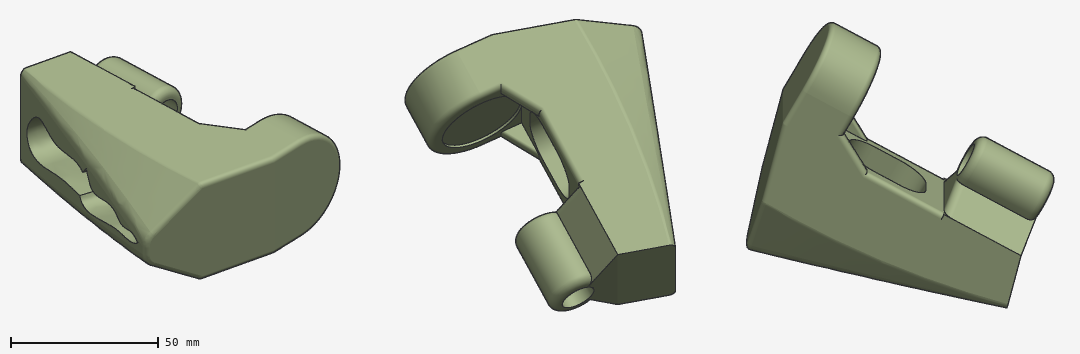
import cadquery as cq
import math

WIDTH = 40.0
HALF = WIDTH / 2
LENGTH = 89.98
LEFT_HEIGHT = 20.05
FRONT_DROP = 6.25

TILT = math.radians(15)
AXIS_V = 15.0

BARREL_LENGTH = 30.0
BARREL_RADIUS = 10.0
BARREL_ROUND = 3.0
BORE_DIAMETER = 12.0

PLATE_START = 73.5
PLATE_THICKNESS = 20.0
PLATE_END = PLATE_START + PLATE_THICKNESS
LEFT_RIM_ROUND = 2.0
RIGHT_END_ROUND = 1.8
SEAT_DIAMETER = 30.0
SEAT_DEPTH = 1.0

GUSSET_START = 60.0
GUSSET_ANGLE = math.radians(30)
GUSSET_HEIGHT = (PLATE_START - GUSSET_START) * math.tan(GUSSET_ANGLE)
GUSSET_INNER_ROUND = 1.0
REAR_ROUND = 1.9

CAVITY_CENTER_U = 52.1
CAVITY_LENGTH = 30.0
CAVITY_WIDTH = 27.2
CAVITY_CORNER = 10.0
CAVITY_FRONT_WALL = 9.0
CAVITY_REACH = LEFT_HEIGHT + PLATE_START

SLOT_DEPTH = 27.0

BEVEL_SECTIONS = (
    (0.0, 1.4, 18.2, 1.5, 3.0),
    (LENGTH / 2, 5.9, 13.1, 2.0, 5.5),
    (LENGTH, 16.7, 4.7, 2.0, 6.5),
)
OVERSHOOT = 5.0


def to_world(u, v):
    """World (X, Y) of a point given in the tilted frame."""
    x = u * math.cos(TILT) - v * math.sin(TILT)
    y = LEFT_HEIGHT + u * math.sin(TILT) + v * math.cos(TILT)
    return (x, y)


def place(shape):
    """Move a shape modelled in the tilted frame to the world frame."""
    return shape.rotate((0, 0, 0), (0, 0, 1), math.degrees(TILT)).translate((0, LEFT_HEIGHT, 0))


def section_plane(position):
    """Plane across the first axis: local x is Y (or v), local y is Z."""
    return cq.Plane(origin=(position, 0, 0), xDir=(0, 1, 0), normal=(1, 0, 0))


def cylinder_along_u(start, end, radius):
    return cq.Workplane(section_plane(start)).center(AXIS_V, 0).circle(radius).extrude(end - start)


def front_y(x):
    return -FRONT_DROP * x / LENGTH


def midpoint(start, end):
    return ((start[0] + end[0]) / 2, (start[1] + end[1]) / 2)


def on_both_sides(point, z):
    """The same outline point at +Z and at -Z."""
    return [(*point, z), (*point, -z)]


def nearest_edges(shape, points):
    """For each point, the edge whose midpoint lies nearest to it."""
    edges = shape.edges().vals()
    chosen = []
    for point in points:
        target = cq.Vector(*point)
        chosen.append(min(edges, key=lambda edge: (edge.positionAt(0.5) - target).Length))
    return chosen


def plate_back_foot():
    """V where the back of the plate meets the right end face."""
    return (PLATE_END * math.cos(TILT) - LENGTH) / math.sin(TILT)


def make_body():
    """Body, gussets and end plate as one full-width block with a half-round plate end."""
    outline = [
        (0, 0),
        (LENGTH, front_y(LENGTH)),
        to_world(PLATE_END, plate_back_foot()),
        to_world(PLATE_END, AXIS_V),
        to_world(PLATE_START, AXIS_V),
        to_world(PLATE_START, GUSSET_HEIGHT),
        to_world(GUSSET_START, 0),
        to_world(0, 0),
    ]
    block = cq.Workplane("XY").polyline(outline).close().extrude(HALF, both=True)
    plate_end = (
        cq.Workplane(section_plane(PLATE_START))
        .moveTo(AXIS_V, -HALF)
        .threePointArc((AXIS_V + HALF, 0), (AXIS_V, HALF))
        .close()
        .extrude(PLATE_THICKNESS)
    )
    return block.union(place(plate_end))


def corner_arc(before, corner, after, radius):
    """Start, middle and end of the arc that rounds a corner between two points."""
    vertex = cq.Vector(*corner)
    along_before = (cq.Vector(*before) - vertex).normalized()
    along_after = (cq.Vector(*after) - vertex).normalized()
    half_angle = along_before.getAngle(along_after) / 2
    setback = radius / math.tan(half_angle)
    bisector = (along_before + along_after).normalized()
    start = vertex + along_before * setback
    middle = vertex + bisector * (radius / math.sin(half_angle) - radius)
    end = vertex + along_after * setback
    return [(point.x, point.y) for point in (start, middle, end)]


def bevel_section(x, side_y, front_z, side_radius, front_radius):
    """Outline in Y and Z of the material removed from one front corner at a given X."""
    side = (side_y, HALF)
    front = (front_y(x), front_z)
    side_arc = corner_arc((side_y + 1, HALF), side, front, side_radius)
    front_arc = corner_arc(side, front, (front_y(x), 0), front_radius)
    outer_y = -FRONT_DROP - OVERSHOOT
    outer_z = HALF + OVERSHOOT
    return (
        cq.Workplane(section_plane(x))
        .moveTo(*side_arc[0])
        .threePointArc(side_arc[1], side_arc[2])
        .lineTo(*front_arc[0])
        .threePointArc(front_arc[1], front_arc[2])
        .lineTo(outer_y, front_arc[2][1])
        .lineTo(outer_y, outer_z)
        .lineTo(side_arc[0][0], outer_z)
        .close()
        .val()
    )


def cut_bevels(body):
    """Narrow the front face to a ridge towards the right end."""
    sections = [bevel_section(*section) for section in BEVEL_SECTIONS]
    bevel = cq.Workplane(cq.Solid.makeLoft(sections))
    return body.cut(bevel).cut(bevel.mirror("XY"))


def rim_points(u, foot_v):
    """Midpoints of the three edges around one face of the end plate."""
    straight = midpoint(to_world(u, foot_v), to_world(u, AXIS_V))
    crown = (*to_world(u, AXIS_V + HALF), 0)
    return [crown] + on_both_sides(straight, HALF)


def round_left_rim(body):
    rim = nearest_edges(body, rim_points(PLATE_START, GUSSET_HEIGHT))
    return body.newObject(rim).fillet(LEFT_RIM_ROUND)


def round_right_end(body):
    """Round the back of the plate and the right end face in one run."""
    rim = nearest_edges(body, rim_points(PLATE_END, plate_back_foot()))
    end = body.faces(">X").edges().vals()
    return body.newObject(rim + end).fillet(RIGHT_END_ROUND)


def gusset_middle():
    """Middle of the sloped gusset line."""
    return midpoint(to_world(GUSSET_START, 0), to_world(PLATE_START, GUSSET_HEIGHT))


def round_rear_edges(body):
    """Round the rear edges of the body and the sloped gusset edges."""
    body_middle = midpoint(to_world(0, 0), to_world(GUSSET_START, 0))
    points = on_both_sides(body_middle, HALF)
    points += on_both_sides(gusset_middle(), HALF)
    return body.newObject(nearest_edges(body, points)).fillet(REAR_ROUND)


def cut_seat(body):
    """Open the gap between the gussets and sink the round seat into the plate."""
    gap = cq.Workplane("XY").box(
        PLATE_START - GUSSET_START, AXIS_V, SEAT_DIAMETER, centered=(False, False, True)
    )
    seat = cylinder_along_u(PLATE_START, PLATE_START + SEAT_DEPTH, SEAT_DIAMETER / 2)
    body = body.cut(place(gap.translate((GUSSET_START, 0, 0)))).cut(place(seat))
    inner = nearest_edges(body, on_both_sides(gusset_middle(), SEAT_DIAMETER / 2))
    return body.newObject(inner).fillet(GUSSET_INNER_ROUND)


def add_barrel(body):
    """Barrel on a web whose flanks run from the body edges towards the barrel axis.

    A full-width foot squares off the rounded rear edges under the web.
    """
    foot_outline = [
        to_world(0, 0),
        to_world(BARREL_LENGTH, 0),
        to_world(BARREL_LENGTH, -REAR_ROUND),
        (0, LEFT_HEIGHT - 2 * REAR_ROUND),
    ]
    foot = cq.Workplane("XY").polyline(foot_outline).close().extrude(HALF, both=True)
    web = (
        cq.Workplane(section_plane(0))
        .polyline([(0, -HALF), (AXIS_V, 0), (0, HALF)])
        .close()
        .extrude(BARREL_LENGTH)
    )
    barrel = cylinder_along_u(0, BARREL_LENGTH, BARREL_RADIUS)
    barrel = barrel.faces("<X").edges().fillet(BARREL_ROUND)
    barrel = barrel.union(web)
    barrel = barrel.faces(">X").edges("not <Y").fillet(BARREL_ROUND)
    return body.union(foot).union(place(barrel))


def cut_bore(body):
    return body.cut(place(cylinder_along_u(0, BARREL_LENGTH, BORE_DIAMETER / 2)))


def cut_cavity(body):
    """Rounded cavity that opens at the rear and stops short of the front face."""
    cavity = (
        cq.Workplane("XZ", origin=(CAVITY_CENTER_U, 0, 0))
        .rect(CAVITY_LENGTH, CAVITY_WIDTH)
        .extrude(CAVITY_REACH)
        .edges("|Y")
        .fillet(CAVITY_CORNER)
    )
    behind_wall = [
        (0, CAVITY_FRONT_WALL),
        (LENGTH, CAVITY_FRONT_WALL + front_y(LENGTH)),
        (LENGTH, CAVITY_REACH),
        (0, CAVITY_REACH),
    ]
    limit = cq.Workplane("XY").polyline(behind_wall).close().extrude(HALF, both=True)
    return body.cut(place(cavity).intersect(limit))


def cut_slot(body):
    """Freeform slot sunk square to the front face, open where it meets the cavity."""
    low_notch = (42.9, -5.6)
    high_notch = (45.1, 5.4)
    peak = (47.3, 8.3)
    tip = (84.7, 0.9)
    head = [
        (38.3, -5.9), (29.5, -6.9), (20.2, -9.2), (12.5, -10.5), (7.0, -8.9), (4.7, -4.2),
        (7.2, 3.1), (14.1, 8.2), (17.9, 7.3), (24.1, 5.1), (32.5, 5.6), (41.5, 6.6), high_notch,
    ]
    back = [
        (48.7, 6.2), (51.4, 2.5), (57.2, 2.5), (64.1, 4.1), (68.7, 3.5), (72.2, 1.4), (78.7, 2.3), tip,
    ]
    belly = [
        (83.3, -0.2), (68.7, -3.2), (62.5, -5.0), (53.3, -7.7), (47.9, -8.6), (44.6, -7.8), low_notch,
    ]
    front_plane = cq.Plane(
        origin=(0, 0, 0), xDir=(LENGTH, -FRONT_DROP, 0), normal=(-FRONT_DROP, -LENGTH, 0)
    )
    slot = (
        cq.Workplane(front_plane)
        .moveTo(*low_notch)
        .spline(head, includeCurrent=True)
        .lineTo(*peak)
        .spline(back, includeCurrent=True)
        .spline(belly, includeCurrent=True)
        .close()
        .extrude(-SLOT_DEPTH)
    )
    return body.cut(slot)


body = cut_bevels(make_body())
body = round_left_rim(body)
body = round_right_end(body)
body = round_rear_edges(body)
body = cut_seat(body)
body = add_barrel(body)
body = cut_bore(body)
body = cut_cavity(body)
body = cut_slot(body)

result = body